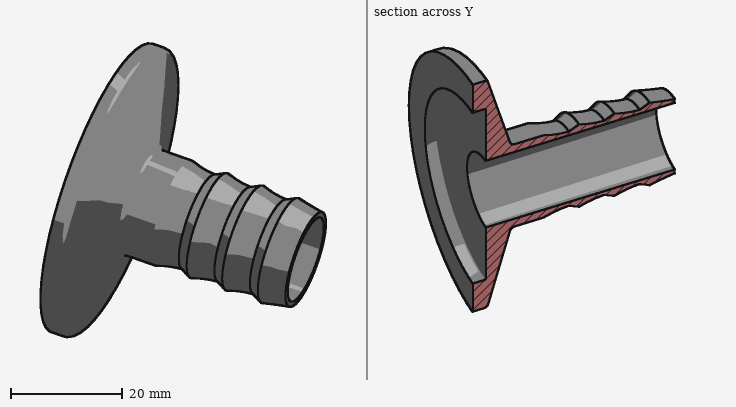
import cadquery as cq
import math

length = 40.0
flange_radius = 27.5
bore_radius = 16.0 / 2
neck_radius = 20.0 / 2

rim_width = 2.2
cone_angle = math.radians(15)
blend_radius = 1.0

seat_radius = 41.2 / 2
seat_depth = 2.6
seat_fillet = 0.35

barb_count = 3
barb_pitch = 7.0
ramp_length = 5.0
barb_height = 1.0
ramp_sag = 0.19
last_ramp_sag = 0.05
root_radius = neck_radius - barb_height
barbs_start = length - ramp_length - barb_count * barb_pitch

blend_turn = math.pi / 2 - cone_angle
blend_length = blend_radius * math.sin(blend_turn)
blend_drop = blend_radius * (1 - math.cos(blend_turn))
half_length = blend_radius * math.sin(blend_turn / 2)
half_drop = blend_radius * (1 - math.cos(blend_turn / 2))

cone_start = rim_width + blend_length
cone_outer_radius = flange_radius - blend_drop
cone_inner_radius = neck_radius + blend_drop
cone_end = cone_start + (cone_outer_radius - cone_inner_radius) * math.tan(cone_angle)
neck_start = cone_end + blend_length


def add_ramp(profile, start, sag):
    """Add a hollow ramp that falls from a barb crest to its root."""
    middle = (start + ramp_length / 2, neck_radius - barb_height / 2 - sag)
    return profile.threePointArc(middle, (start + ramp_length, root_radius))


def make_body():
    """Turn the solid flange, neck and barbs."""
    profile = (
        cq.Workplane("XY")
        .lineTo(0, flange_radius)
        .lineTo(rim_width, flange_radius)
        .threePointArc(
            (rim_width + half_length, flange_radius - half_drop),
            (cone_start, cone_outer_radius),
        )
        .lineTo(cone_end, cone_inner_radius)
        .threePointArc(
            (neck_start - half_length, neck_radius + half_drop),
            (neck_start, neck_radius),
        )
        .lineTo(barbs_start, neck_radius)
    )
    for index in range(barb_count):
        ramp_start = barbs_start + index * barb_pitch
        profile = add_ramp(profile, ramp_start, ramp_sag)
        profile = profile.lineTo(ramp_start + barb_pitch, neck_radius)
    profile = add_ramp(profile, length - ramp_length, last_ramp_sag)
    profile = profile.lineTo(length, 0).close()
    return profile.revolve(360, (0, 0, 0), (1, 0, 0))


def make_seat():
    """Round recess with a filleted floor corner."""
    return cq.Workplane("YZ").circle(seat_radius).extrude(seat_depth).faces(">X").edges().fillet(seat_fillet)


def make_bore():
    return cq.Workplane("YZ").circle(bore_radius).extrude(length)


result = make_body().cut(make_seat()).cut(make_bore())